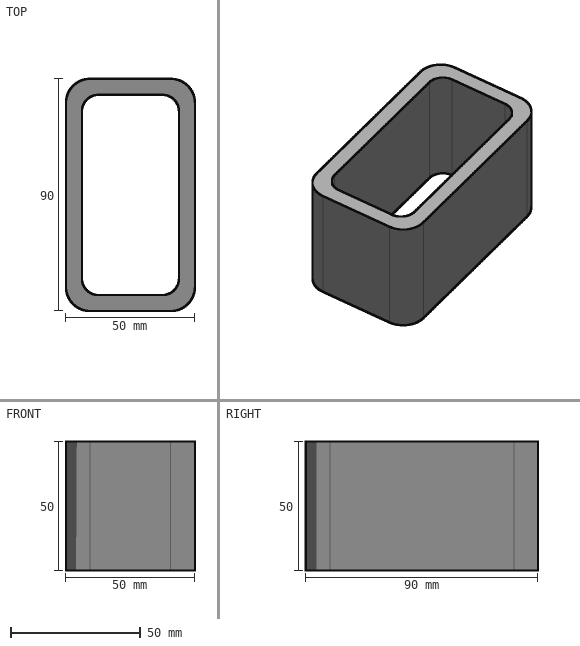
import cadquery as cq

width = 50.0
length = 90.0
height = 50.0
wall = 6.3
inner_radius = wall
outer_radius = 1.5 * wall


def rounded_block(size_x, size_y, corner_radius):
    """Full-height block with rounded vertical edges."""
    block = cq.Workplane("XY").rect(size_x, size_y).extrude(height)
    return block.edges("|Z").fillet(corner_radius)


outer_body = rounded_block(width, length, outer_radius)
bore = rounded_block(width - 2 * wall, length - 2 * wall, inner_radius)

result = outer_body.cut(bore)